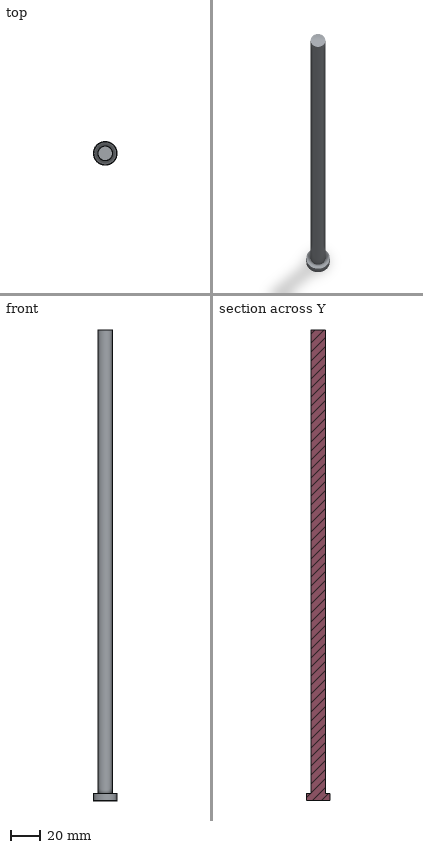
import cadquery as cq

total_length = 320.0
head_diameter = 16.0
head_height = 5.0
shank_diameter = 10.0

head = cq.Workplane("XY").circle(head_diameter / 2).extrude(head_height)
shank = cq.Workplane("XY").circle(shank_diameter / 2).extrude(total_length)

result = head.union(shank)